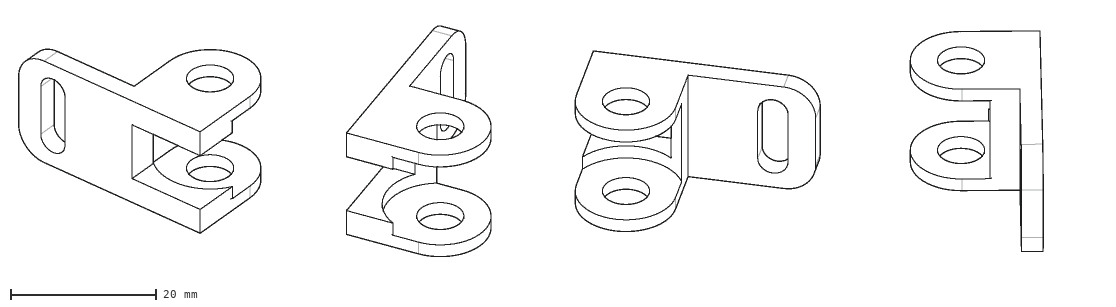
import cadquery as cq

length = 32.0
overall_depth = 18.0
height = 17.0
mid_z = height / 2

ear_thickness = 2.0
ear_width = 14.0
ear_radius = ear_width / 2
pivot_x = length - ear_radius
pivot_y = overall_depth - ear_radius
pivot_diameter = 6.5

clearance_radius = 8.0

plate_thickness = pivot_y - clearance_radius
corner_radius = 4.5

slot_width = 4.25
slot_length = 12.22
slot_center_x = 6.05

notch_depth = 12.0
notch_height = 9.0


def make_plate():
    """Plate with both corners at its free end rounded."""
    plate = cq.Workplane("XY").box(length, plate_thickness, height, centered=False)
    return plate.edges("|Y and <X").fillet(corner_radius)


def make_ear_block():
    """Full-height block with the outline of the ears."""
    return (
        cq.Workplane("XY")
        .moveTo(length - ear_width, 0)
        .lineTo(length, 0)
        .lineTo(length, pivot_y)
        .threePointArc((pivot_x, overall_depth), (length - ear_width, pivot_y))
        .close()
        .extrude(height)
    )


def make_slot():
    """Upright slot cutter, passing through the plate thickness."""
    return (
        cq.Workplane("XZ")
        .center(slot_center_x, mid_z)
        .slot2D(slot_length, slot_width, 90)
        .extrude(-plate_thickness)
    )


def make_pivot_cylinder(radius, bottom_z, top_z):
    """Vertical cylinder on the pivot axis."""
    return (
        cq.Workplane("XY", origin=(pivot_x, pivot_y, bottom_z))
        .circle(radius)
        .extrude(top_z - bottom_z)
    )


def make_notch():
    """Square notch cutter, open at the +X end and running the full depth."""
    return cq.Workplane("XY").box(
        notch_depth, overall_depth, notch_height, centered=(False, False, True)
    ).translate((length - notch_depth, 0, mid_z))


result = (
    make_plate()
    .union(make_ear_block())
    .cut(make_slot())
    .cut(make_pivot_cylinder(clearance_radius, ear_thickness, height - ear_thickness))
    .cut(make_pivot_cylinder(pivot_diameter / 2, 0, height))
    .cut(make_notch())
)